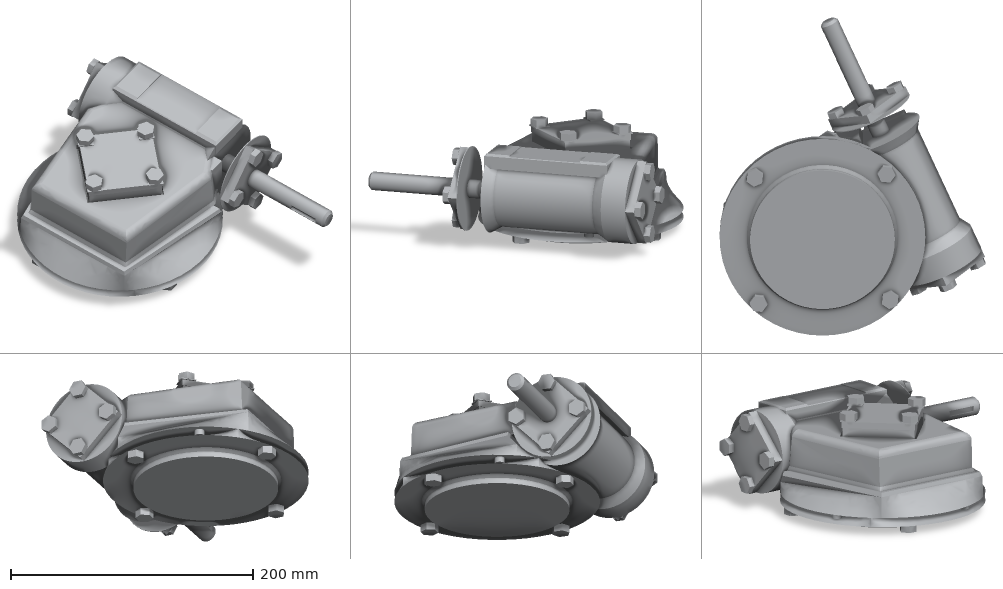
import cadquery as cq
import math

spigot_radius = 59.8
spigot_height = 4.6
neck_radius = 62.5
flange_radius = 85.0
flange_bottom = 7.3
skirt_bottom = 15.1

base_bolt_inset = 8.0
base_bolt_radius = flange_radius - base_bolt_inset
base_bolt_first_angle = -22.5
base_head_height = 6.0
pin_angle_from_bolt = 45
pin_diameter = 8.3
pin_bottom = 10.5

rim_bottom = 32.7
rim_top = 36.1
rim_draft = 1.2
rim_front_y = -65.5
rim_front_half_width = 53.2
rim_rear_y = 38.0
rim_rear_half_width = 75.5
skirt_rear_y = 45.2
skirt_rear_half_width = 72.0
skirt_rear_height = 25.1

foot_size = (50.0, -59.8, 68.3)
box_bottom_size = (48.5, -57.5, 66.5)
box_top_size = (48.8, -56.5, 63.0)
foot_top = 39.0
box_top = 69.3
box_edge_radius = 6.5
box_rear_y = 59.8
box_shoulder_depth = 19.5
box_shoulder_inset = 11.0
corner_block_x = 60.3
corner_block_width = 16.4
corner_block_y = 46.4
corner_block_top = 67.0

cover_opening_diagonal = 90.3
cover_opening_depth = 5.0
cover_lower_diagonal = 85.0
cover_upper_diagonal = 86.5
cover_step_height = 76.2
cover_top = 81.5
cover_bolt_radius = 36.0
washer_diagonal = 18.0
washer_thickness = 1.0
overall_height = 88.4
head_corners = 15.0

rear_y = 111.0
collar_diameter = 70.0
collar_radius = collar_diameter / 2
worm_y = rear_y - collar_radius
worm_z = 44.7
worm_radius = 29.3
collar_end_x = 52.0
taper_length = 9.3

block_top = 80.8
block_bottom = 68.8
block_shoulder = 79.3
block_center_y = 79.5
block_length_bottom = 106.5
block_length_top = 102.5
block_width_bottom = 36.5
block_width_top = 30.8
recess_length = 61.0
recess_center_x = 1.2
recess_depth = 1.0

end_flange_inner_x = 72.3
end_flange_outer_x = 80.5
end_disc_thickness = 0.7
end_bolt_radius = 26.5
end_head_height = 5.1

shaft_diameter = 15.4
shaft_end_x = 158.5
shaft_chamfer = 2.2
keyway_start_x = 124.7
keyway_length = 25.6
keyway_width = 5.0
keyway_depth = 3.0


def cylinder_z(radius, bottom, top):
    return cq.Workplane("XY").workplane(offset=bottom).circle(radius).extrude(top - bottom)


def square_prism(diagonal, bottom, top, x=0):
    """Square prism whose corners point along X and Y."""
    return (cq.Workplane("XY").workplane(offset=bottom).center(x, 0)
            .polygon(4, diagonal).extrude(top - bottom))


def bolt_head(height):
    """Hexagonal head standing on z = 0 with two corners along Y."""
    head = cq.Workplane("XY").polygon(6, head_corners).extrude(height)
    return head.rotate((0, 0, 0), (0, 0, 1), 90)


def round_wire(radius, z, corners):
    """Circle in arcs that begin and end at the direction of each corner."""
    angles = [math.atan2(y, x) for x, y in corners]
    arcs = []
    for start, end in zip(angles, angles[1:] + angles[:1]):
        if end < start:
            end += 2 * math.pi
        points = [cq.Vector(radius * math.cos(a), radius * math.sin(a), z)
                  for a in (start, (start + end) / 2, end)]
        arcs.append(cq.Edge.makeThreePointArc(*points))
    return cq.Wire.assembleEdges(arcs)


def polygon_wire(points):
    return cq.Wire.makePolygon([cq.Vector(*p) for p in points], close=True)


def ruled_loft(*wires):
    return cq.Workplane(cq.Solid.makeLoft(list(wires), True))


def trapezoid(front_half, front_y, rear_half, rear_y):
    return [(front_half, front_y), (rear_half, rear_y), (-rear_half, rear_y), (-front_half, front_y)]


def at_height(points, z):
    return polygon_wire([(x, y, z) for x, y in points])


def make_base():
    half_side = flange_radius * math.sqrt(0.5)
    square = trapezoid(half_side, -half_side, half_side, half_side)
    flange = ruled_loft(round_wire(flange_radius, flange_bottom, square), at_height(square, skirt_bottom))
    neck_profile = [(0, spigot_height), (spigot_radius, spigot_height),
                    (neck_radius, flange_bottom), (0, flange_bottom)]
    neck = cq.Workplane("XZ").polyline(neck_profile).close().revolve(360, (0, 0, 0), (0, 1, 0))
    base = flange.union(neck).union(cylinder_z(spigot_radius, 0, skirt_bottom))
    head = (bolt_head(base_head_height)
            .rotate((0, 0, 0), (0, 0, 1), -base_bolt_first_angle)
            .translate((base_bolt_radius, 0, flange_bottom - base_head_height)))
    pin = cylinder_z(pin_diameter / 2, pin_bottom, skirt_bottom)
    pin = pin.translate((base_bolt_radius, 0, 0))
    for quarter in range(4):
        angle = base_bolt_first_angle + 90 * quarter
        base = base.union(head.rotate((0, 0, 0), (0, 0, 1), angle))
        base = base.union(pin.rotate((0, 0, 0), (0, 0, 1), angle + pin_angle_from_bolt))
    return base


def make_skirt():
    """Skirt from the round edge up to a tilted trapezoid, closed by a wedge below the rim."""
    corners = trapezoid(rim_front_half_width, rim_front_y, skirt_rear_half_width, skirt_rear_y)
    heights = [rim_bottom, skirt_rear_height, skirt_rear_height, rim_bottom]
    tilted = [(x, y, z) for (x, y), z in zip(corners, heights)]
    skirt = ruled_loft(round_wire(flange_radius, skirt_bottom, corners), polygon_wire(tilted))

    front_right, low_right, low_left, front_left = tilted
    high_right = (rim_rear_half_width, rim_rear_y, rim_bottom)
    high_left = (-rim_rear_half_width, rim_rear_y, rim_bottom)
    outlines = [
        tilted,
        [front_right, high_right, high_left, front_left],
        [front_right, low_right, high_right],
        [front_left, low_left, high_left],
        [low_right, high_right, high_left, low_left],
    ]
    faces = [cq.Face.makeFromWires(polygon_wire(outline)) for outline in outlines]
    wedge = cq.Workplane(cq.Solid.makeSolid(cq.Shell.makeShell(faces)))

    rear = cylinder_z(flange_radius, skirt_bottom, rim_bottom)
    rear = rear.intersect(cq.Workplane("XY").box(
        2 * skirt_rear_half_width, flange_radius, rim_bottom, centered=(True, False, False)
    ).translate((0, rim_rear_y, 0)))
    return skirt.union(wedge).union(rear)


def make_rim():
    lower = trapezoid(rim_front_half_width, rim_front_y, rim_rear_half_width, rim_rear_y)
    upper = trapezoid(rim_front_half_width - rim_draft, rim_front_y + rim_draft,
                      rim_rear_half_width - rim_draft, rim_rear_y)
    return ruled_loft(at_height(lower, rim_bottom), at_height(upper, rim_top))


def box_outline(front_half, front_y, rear_half):
    """Tapering box outline whose rear shoulders are cut at an angle."""
    shoulder_y = box_rear_y - box_shoulder_depth
    rear = rear_half - box_shoulder_inset
    return [(front_half, front_y), (rear_half, shoulder_y), (rear, box_rear_y),
            (-rear, box_rear_y), (-rear_half, shoulder_y), (-front_half, front_y)]


def make_box():
    foot_outline = box_outline(*foot_size)
    lower_outline = box_outline(*box_bottom_size)
    upper_outline = box_outline(*box_top_size)
    foot = ruled_loft(at_height(foot_outline, rim_top), at_height(lower_outline, foot_top))
    box = ruled_loft(at_height(lower_outline, foot_top), at_height(upper_outline, box_top))
    box = box.faces(">Z").edges("not >Y").fillet(box_edge_radius)
    box = box.cut(square_prism(cover_opening_diagonal, box_top - cover_opening_depth, box_top))
    corner_block = cq.Workplane("XY").box(
        corner_block_width, box_rear_y - corner_block_y, corner_block_top - rim_bottom, centered=False
    ).translate((corner_block_x - corner_block_width, corner_block_y, rim_bottom))
    return foot.union(box).union(corner_block)


def make_cover():
    cover = (square_prism(cover_lower_diagonal, box_top - cover_opening_depth, cover_step_height)
             .union(square_prism(cover_upper_diagonal, cover_step_height, cover_top)))
    washer_top = cover_top + washer_thickness
    washer = square_prism(washer_diagonal, cover_top, washer_top, cover_bolt_radius)
    head = bolt_head(overall_height - washer_top).translate((cover_bolt_radius, 0, washer_top))
    bolt = washer.union(head)
    for quarter in range(4):
        cover = cover.union(bolt.rotate((0, 0, 0), (0, 0, 1), 90 * quarter))
    return cover


def make_worm_housing():
    """Tube with a collar on the -X side and a flared mouth on the +X side."""
    taper_x = collar_end_x - taper_length
    profile = [(-end_flange_inner_x, 0), (-end_flange_inner_x, collar_radius),
               (-collar_end_x, collar_radius), (-taper_x, worm_radius),
               (taper_x, worm_radius), (collar_end_x, collar_radius), (collar_end_x, 0)]
    tube = cq.Workplane("XY").polyline(profile).close().revolve(360, (0, 0, 0), (1, 0, 0))
    return tube.translate((0, worm_y, worm_z))


def make_block():
    block = (cq.Workplane("XY").workplane(offset=block_bottom)
             .rect(block_length_bottom, block_width_bottom)
             .extrude(block_shoulder - block_bottom)
             .faces(">Z").workplane()
             .rect(block_length_bottom, block_width_bottom)
             .workplane(offset=block_top - block_shoulder)
             .rect(block_length_top, block_width_top)
             .loft(ruled=True))
    recess = cq.Workplane("XY").box(recess_length, block_width_bottom, 2 * recess_depth)
    return block.cut(recess.translate((recess_center_x, 0, block_top))).translate((0, block_center_y, 0))


def make_end_flange():
    """Flange on the +X side: thin round disc, square plate and four bolt heads."""
    flange = (cylinder_z(collar_radius, end_flange_inner_x, end_flange_inner_x + end_disc_thickness)
              .union(square_prism(collar_diameter, end_flange_inner_x, end_flange_outer_x)))
    head = bolt_head(end_head_height).translate((end_bolt_radius, 0, end_flange_outer_x))
    for quarter in range(4):
        flange = flange.union(head.rotate((0, 0, 0), (0, 0, 1), 90 * quarter))
    return flange.rotate((0, 0, 0), (0, 1, 0), 90).translate((0, worm_y, worm_z))


def make_shaft():
    shaft = (cq.Workplane("YZ").circle(shaft_diameter / 2).extrude(shaft_end_x)
             .faces(">X").chamfer(shaft_chamfer))
    keyway = cq.Workplane("XY").box(
        keyway_length, 2 * keyway_depth, keyway_width, centered=(False, True, True))
    shaft = shaft.cut(keyway.translate((keyway_start_x, -shaft_diameter / 2, 0)))
    return shaft.translate((0, worm_y, worm_z))


result = make_base()
right_flange = make_end_flange()
sections = [make_skirt(), make_rim(), make_box(), make_worm_housing(), make_block(), make_cover(),
            right_flange, right_flange.mirror("YZ"), make_shaft()]
for section in sections:
    result = result.union(section)